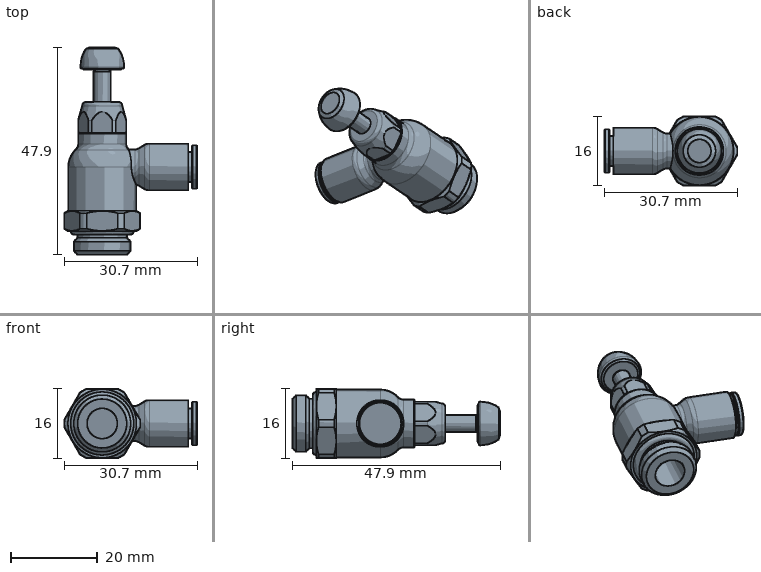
import cadquery as cq
import math


overall_width = 30.7

total_length = 47.9
thread_top = 3.05
relief_start = 3.95
hex_base = 5.5
hex_top = 10.15
shoulder_y = 20.25
dome_end = 24.3
neck_start = 25.6
neck_top = 28.15
nut_taper_start = 31.1
nut_taper_end = 34.4
nut_top = 35.25
knob_base = 42.65
knob_rim = 42.95
knob_widest = 43.35
knob_crown = 47.55

thread_radius = 6.55
thread_chamfer = 0.9
relief_radius = 5.75
bore_radius = 3.5
bore_depth = 9.6
seal_outer_radius = 7.3
seal_thickness = 1.72

hex_flats = 16.0
hex_corner_radius = 8.75
hex_chamfer_height = 0.55
hex_face_radius = 7.9

body_radius = 7.85
dome_end_radius = 6.15
neck_radius = 5.55
neck_chamfer = 0.2

nut_flats = 10.05
nut_radius = 5.55
nut_taper_radius = 4.65
nut_top_radius = 3.9

stem_radius = 2.0
stem_chamfer = 0.4
knob_base_radius = 4.05
knob_rim_radius = 4.6
knob_radius = 5.1
knob_crown_radius = 3.75
knob_top_radius = 2.7

port_neck_radius = 4.05
port_radius = 5.4
flare_start = 7.5
flare_end = 10.85
inner_bend = 1.72
flare_angle = math.radians(31)
port_end = 19.85
sleeve_radius = 3.5
flange_start = 20.65
flange_radius = 5.05
flange_chamfer = 0.25
port_tip = overall_width - hex_corner_radius


def tangent_arc_middle(start, end):
    """Middle of the arc that leaves start parallel to Y and passes through end."""
    drop = start[0] - end[0]
    rise = end[1] - start[1]
    arc_radius = (drop**2 + rise**2) / (2 * drop)
    half_angle = math.atan2(drop, rise)
    return (
        start[0] - arc_radius * (1 - math.cos(half_angle)),
        start[1] + arc_radius * math.sin(half_angle),
    )


def turned(profile):
    """Revolve a closed half profile around the main axis."""
    return profile.close().revolve(360, (0, 0, 0), (0, 1, 0))


def disc(radius, start, end):
    """Cylinder on the main axis between two stations."""
    return cq.Workplane("XZ", origin=(0, start, 0)).circle(radius).extrude(start - end)


def hex_bar(flats, start, end):
    """Hexagonal bar on the main axis, with two flats facing +Z and -Z."""
    corner_diameter = flats / math.cos(math.radians(30))
    return cq.Workplane("XZ", origin=(0, start, 0)).polygon(6, corner_diameter).extrude(start - end)


def seal_ring():
    """Round sealing ring, half sunk into the face of the body hexagon."""
    section_radius = seal_thickness / 2
    return (
        cq.Workplane("XY")
        .moveTo(seal_outer_radius - section_radius, hex_base)
        .circle(section_radius)
        .revolve(360, (0, 0, 0), (0, 1, 0), combine=False)
    )


def threaded_end():
    spigot = turned(
        cq.Workplane("XY")
        .moveTo(0, 0)
        .lineTo(thread_radius - thread_chamfer, 0)
        .lineTo(thread_radius, thread_chamfer)
        .lineTo(thread_radius, thread_top)
        .lineTo(relief_radius, relief_start)
        .lineTo(relief_radius, hex_base)
        .lineTo(0, hex_base)
    )
    return spigot.union(seal_ring())


def body_hex():
    envelope = turned(
        cq.Workplane("XY")
        .moveTo(0, hex_base)
        .lineTo(hex_face_radius, hex_base)
        .lineTo(hex_corner_radius, hex_base + hex_chamfer_height)
        .lineTo(hex_corner_radius, hex_top - hex_chamfer_height)
        .lineTo(hex_face_radius, hex_top)
        .lineTo(0, hex_top)
    )
    return hex_bar(hex_flats, hex_base, hex_top).intersect(envelope)


def domed_body():
    shoulder = (body_radius, shoulder_y)
    dome_tip = (dome_end_radius, dome_end)
    neck_foot = (neck_radius, neck_start)
    mirrored_middle = tangent_arc_middle(
        (-neck_radius, -neck_start), (-dome_end_radius, -dome_end)
    )
    hollow_middle = (-mirrored_middle[0], -mirrored_middle[1])
    return turned(
        cq.Workplane("XY")
        .moveTo(0, hex_top)
        .lineTo(body_radius, hex_top)
        .lineTo(*shoulder)
        .threePointArc(tangent_arc_middle(shoulder, dome_tip), dome_tip)
        .threePointArc(hollow_middle, neck_foot)
        .lineTo(neck_radius, neck_top - neck_chamfer)
        .lineTo(neck_radius - neck_chamfer, neck_top)
        .lineTo(0, neck_top)
    )


def adjusting_nut():
    taper_end = (nut_taper_radius, nut_taper_end)
    top_rim = (nut_top_radius, nut_top)
    envelope = turned(
        cq.Workplane("XY")
        .moveTo(0, neck_top)
        .lineTo(nut_radius, neck_top)
        .lineTo(nut_radius, nut_taper_start)
        .lineTo(*taper_end)
        .threePointArc(tangent_arc_middle(taper_end, top_rim), top_rim)
        .lineTo(0, nut_top)
    )
    return hex_bar(nut_flats, neck_top, nut_top).intersect(envelope)


def stem_and_knob():
    rim = (knob_rim_radius, knob_rim)
    widest = (knob_radius, knob_widest)
    mirrored_middle = tangent_arc_middle((knob_radius, -knob_widest), (knob_rim_radius, -knob_rim))
    rim_middle = (mirrored_middle[0], -mirrored_middle[1])
    crown = (knob_crown_radius, knob_crown)
    return turned(
        cq.Workplane("XY")
        .moveTo(0, nut_top)
        .lineTo(stem_radius, nut_top)
        .lineTo(stem_radius, knob_base - stem_chamfer)
        .lineTo(stem_radius - stem_chamfer, knob_base)
        .lineTo(knob_base_radius, knob_base)
        .lineTo(*rim)
        .threePointArc(rim_middle, widest)
        .threePointArc(tangent_arc_middle(widest, crown), crown)
        .lineTo(knob_top_radius, total_length)
        .lineTo(0, total_length)
    )


def tube_port():
    """Side port; its half profile is drawn along X and revolved around the port axis."""
    rise = port_radius - port_neck_radius
    run = flare_end - flare_start
    cone_length = rise / math.tan(flare_angle / 2) - run
    bend_sum = (rise - cone_length * math.sin(flare_angle)) / (1 - math.cos(flare_angle))
    outer_bend = bend_sum - inner_bend

    def inner_point(angle):
        return (
            flare_start + inner_bend * math.sin(angle),
            port_neck_radius + inner_bend * (1 - math.cos(angle)),
        )

    def outer_point(angle):
        return (
            flare_end - outer_bend * math.sin(angle),
            port_radius - outer_bend * (1 - math.cos(angle)),
        )

    return (
        cq.Workplane("XY", origin=(0, shoulder_y, 0))
        .moveTo(0, 0)
        .lineTo(0, port_neck_radius)
        .lineTo(flare_start, port_neck_radius)
        .threePointArc(inner_point(flare_angle / 2), inner_point(flare_angle))
        .lineTo(*outer_point(flare_angle))
        .threePointArc(outer_point(flare_angle / 2), outer_point(0))
        .lineTo(port_end, port_radius)
        .lineTo(port_end, sleeve_radius)
        .lineTo(flange_start, sleeve_radius)
        .lineTo(flange_start, flange_radius - flange_chamfer)
        .lineTo(flange_start + flange_chamfer, flange_radius)
        .lineTo(port_tip - flange_chamfer, flange_radius)
        .lineTo(port_tip, flange_radius - flange_chamfer)
        .lineTo(port_tip, 0)
        .close()
        .revolve(360, (0, 0, 0), (1, 0, 0))
    )


result = (
    threaded_end()
    .union(body_hex())
    .union(domed_body())
    .union(adjusting_nut())
    .union(stem_and_knob())
    .union(tube_port())
    .cut(disc(bore_radius, 0, bore_depth))
)